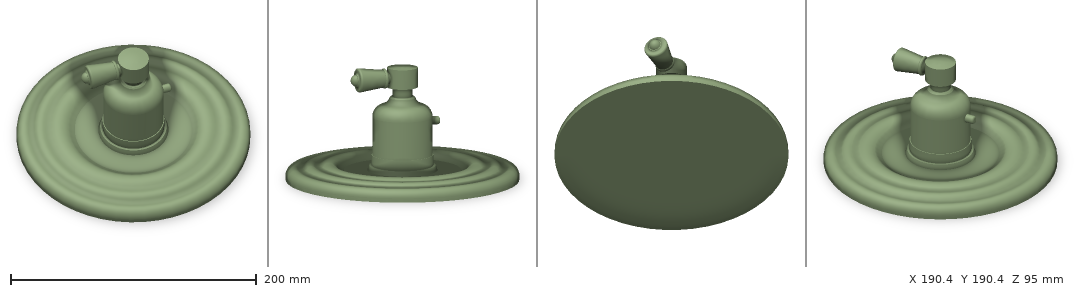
import cadquery as cq

plate_radius = 95.2
rim_wall_height = 3.6
outer_ring_inner = (86.3, 10.0)
middle_ring_outer = (80.0, 11.0)
middle_ring_inner = (72.8, 12.4)
inner_ring_outer = (66.0, 12.8)
inner_ring_inner = (52.8, 10.9)
floor_radius = 47.8
floor_height = 8.0

seat_base_radius = 28.5
seat_top_radius = 27.0
seat_top = 12.2

collar_radius = 25.1
collar_top = 20.8
body_radius = 24.5
shoulder_start = 52.2
shoulder_bend = (16.4, 62.5)
lip_radius = 10.7
lip_bottom = 68.0
body_top = 69.2
lip_chamfer = body_top - lip_bottom

stem_radius = 8.0
cap_radius = 12.5
cap_bottom = 77.0
cap_edge_top = 93.2
cap_top = 94.9
dome_rise = cap_top - cap_edge_top
dome_radius = (cap_radius**2 + dome_rise**2) / (2 * dome_rise)

handle_height = 85.0
neck_radius = 4.8
neck_end = 13.0
cove_end = 14.7
cove_radius = 6.1
bead_end_radius = 7.6
bead_end = 17.0
bead_middle = (bead_end + cove_end) / 2
bead_peak_radius = 8.2
grip_start_radius = 7.2
grip_end = 37.5
grip_end_radius = 10.0
grip_face = 39.2
grip_face_radius = 8.8
knob_foot_radius = 6.9
knob_shelf_radius = 5.3
knob_shelf = 40.4
knob_radius = 4.8
handle_tip = 44.8
knob_rise = handle_tip - knob_shelf
knob_curve = (knob_radius**2 + knob_rise**2) / (2 * knob_rise)

pin_radius = 3.5
pin_height = 47.2
pin_end = 32.0
pin_rounding = 1.5


def turn(profile):
    """Close a (radius, height) half outline and revolve it about Z."""
    return profile.close().revolve(360, (0, 0, 0), (0, 1, 0))


def make_plate():
    return turn(
        cq.Workplane("XZ")
        .lineTo(plate_radius, 0)
        .lineTo(plate_radius, rim_wall_height)
        .tangentArcPoint(outer_ring_inner, relative=False)
        .tangentArcPoint(middle_ring_outer, relative=False)
        .tangentArcPoint(middle_ring_inner, relative=False)
        .tangentArcPoint(inner_ring_outer, relative=False)
        .tangentArcPoint(inner_ring_inner, relative=False)
        .tangentArcPoint((floor_radius, floor_height), relative=False)
        .lineTo(0, floor_height)
    )


def make_body():
    """Seat, collar, shouldered body, stem and domed cap as one turned shape."""
    return turn(
        cq.Workplane("XZ")
        .lineTo(seat_base_radius, 0)
        .lineTo(seat_base_radius, floor_height)
        .lineTo(seat_top_radius, seat_top)
        .lineTo(collar_radius, seat_top)
        .lineTo(collar_radius, collar_top)
        .lineTo(body_radius, collar_top)
        .lineTo(body_radius, shoulder_start)
        .tangentArcPoint(shoulder_bend, relative=False)
        .tangentArcPoint((lip_radius, lip_bottom), relative=False)
        .lineTo(lip_radius - lip_chamfer, body_top)
        .lineTo(stem_radius, body_top)
        .lineTo(stem_radius, cap_bottom)
        .lineTo(cap_radius, cap_bottom)
        .lineTo(cap_radius, cap_edge_top)
        .radiusArc((0, cap_top), -dome_radius)
    )


def make_handle():
    """Turn the lever about Z, then lay it down so that it points to -Y."""
    upright = turn(
        cq.Workplane("XZ")
        .lineTo(neck_radius, 0)
        .lineTo(neck_radius, neck_end)
        .tangentArcPoint((cove_radius, cove_end), relative=False)
        .threePointArc((bead_peak_radius, bead_middle), (bead_end_radius, bead_end))
        .lineTo(grip_start_radius, bead_end)
        .lineTo(grip_end_radius, grip_end)
        .tangentArcPoint((grip_face_radius, grip_face), relative=False)
        .lineTo(knob_foot_radius, grip_face)
        .tangentArcPoint((knob_shelf_radius, knob_shelf), relative=False)
        .lineTo(knob_radius, knob_shelf)
        .radiusArc((0, handle_tip), -knob_curve)
    )
    return upright.rotate((0, 0, 0), (1, 0, 0), 90).translate((0, 0, handle_height))


def make_pin():
    return (
        cq.Workplane("XZ", origin=(0, 0, pin_height))
        .circle(pin_radius)
        .extrude(-pin_end)
        .faces(">Y")
        .edges()
        .fillet(pin_rounding)
    )


result = make_plate().union(make_body()).union(make_handle()).union(make_pin())